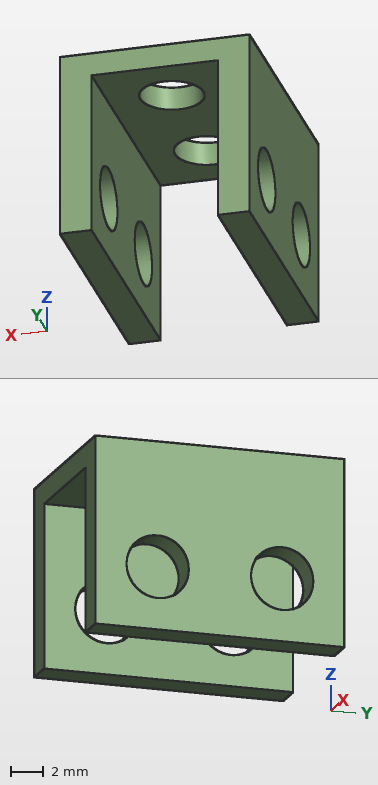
import cadquery as cq

width = 12.0
length = 16.0
height = 12.0

side_wall = 2.0
top_wall = 1.5

hole_diameter = 4.0
hole_spacing = 8.0
side_hole_height = 4.0


def channel():
    """Block opened from below along its whole length; underside at Z = 0."""
    block = cq.Workplane("XY").box(width, length, height, centered=(True, True, False))
    slot = cq.Workplane("XY").box(
        width - 2 * side_wall, length, height - top_wall, centered=(True, True, False)
    )
    return block.cut(slot)


def top_holes():
    """Vertical cylinders along the centre line of the top wall."""
    return (
        cq.Workplane("XY")
        .rarray(0.16, hole_spacing, 1, 2)
        .circle(hole_diameter / 2)
        .extrude(height)
    )


def side_holes():
    """Cylinders along X that pass through both side walls."""
    return (
        cq.Workplane("YZ")
        .center(0, side_hole_height)
        .rarray(hole_spacing, 0.16, 2, 1)
        .circle(hole_diameter / 2)
        .extrude(width / 2, both=True)
    )


result = channel().cut(top_holes()).cut(side_holes())